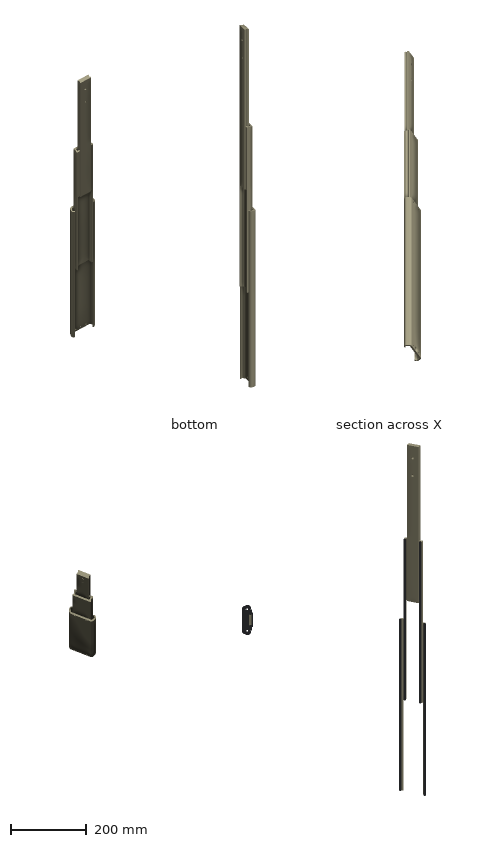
import cadquery as cq
import math


OUTER_LENGTH = 500.0
OUTER_HALF_WIDTH = 37.0
OUTER_FRONT = 20.0
OUTER_WEB = 5.0
OUTER_FLAT_HALF = 29.0
BEVEL_DEPTH = 3.0
BEVEL_WIDTH = 4.4
RACE_OUTER_RADIUS = 7.0
RACE_INNER_RADIUS = 3.5
OUTER_RACE_ANGLES = (118, 5)
INNER_RACE_ANGLES = (150, 0)
LIP_TIP = (18.0, 28.0)

MOUNT_HOLE_DIAMETER = 6.0
MOUNT_HOLE_SPACING = 33.0
MOUNT_HOLE_INSET = 8.0
CENTRE_HOLE_DIAMETER = 5.0
CENTRE_HOLE_MOUTH = 15.0
SINK_ANGLE = 90

MIDDLE_LENGTH = 470.0
MIDDLE_TOP = 735.0
MIDDLE_BACK = 6.0
MIDDLE_FRONT = 23.0
MIDDLE_HALF_WIDTH = 26.0
MIDDLE_WEB = 5.0
MIDDLE_FLANGE = 5.6
MIDDLE_LIP = 4.0
MIDDLE_CORNER_RADIUS = 2.0
GROOVE_START = 9.0
GROOVE_WIDTH = 8.6
GROOVE_DEPTH = 1.9

TOP = 1010
INNER_LENGTH = 455
INNER_BACK = 14.0
INNER_FRONT = 26.0
INNER_HALF_WIDTH = 17.0
VEE_START = 18.0
VEE_WIDTH = 5.0
VEE_DEPTH = 2.0
PLAIN_HOLE_DIAMETER = 7.0
PLAIN_HOLE_INSET = 35.0
SINK_HOLE_DIAMETER = 4.0
SINK_HOLE_MOUTH = 8.0
SINK_HOLE_INSET = 86.0

RACE_X = OUTER_FRONT - RACE_OUTER_RADIUS
RACE_Y = OUTER_HALF_WIDTH - RACE_OUTER_RADIUS
MIDDLE_BOTTOM = MIDDLE_TOP - MIDDLE_LENGTH
MIDDLE_MOUTH_HALF = MIDDLE_HALF_WIDTH - MIDDLE_LIP
GROOVE_END = GROOVE_START + GROOVE_WIDTH
INNER_BOTTOM = TOP - INNER_LENGTH
VEE_END = VEE_START + VEE_WIDTH


def mirrored(side, points):
    """Points moved to the +Y side (side = 1) or the -Y side (side = -1)."""
    return [(x, side * y) for x, y in points]


def race_arc(radius, first, last):
    """Start, middle and end of an arc around the race centre of the +Y flange."""
    angles = [math.radians(a) for a in (first, (first + last) / 2, last)]
    return [(RACE_X + radius * math.cos(a), RACE_Y + radius * math.sin(a)) for a in angles]


def drill(body, diameter, y, z):
    """Cut a round hole along X, right through the body."""
    cutter = cq.Workplane("YZ").center(y, z).circle(diameter / 2).extrude(INNER_FRONT)
    return body.cut(cutter)


def countersink(body, mouth, diameter, x, z):
    """Cut a centred hole along X with a conical mouth on the face at x."""
    depth = (mouth - diameter) / 2 / math.tan(math.radians(SINK_ANGLE / 2))
    cone = cq.Solid.makeCone(mouth / 2, diameter / 2, depth, cq.Vector(x, 0, z), cq.Vector(1, 0, 0))
    return drill(body.cut(cq.Workplane(cone)), diameter, 0, z)


def make_outer_rail():
    outer_start, outer_middle, outer_end = race_arc(RACE_OUTER_RADIUS, *OUTER_RACE_ANGLES)
    inner_start, inner_middle, inner_end = race_arc(RACE_INNER_RADIUS, *INNER_RACE_ANGLES)
    half = (
        cq.Workplane("XY")
        .moveTo(0, 0)
        .lineTo(0, OUTER_FLAT_HALF)
        .lineTo(BEVEL_DEPTH, OUTER_FLAT_HALF + BEVEL_WIDTH)
        .lineTo(*outer_start)
        .threePointArc(outer_middle, outer_end)
        .lineTo(*LIP_TIP)
        .lineTo(*inner_end)
        .threePointArc(inner_middle, inner_start)
        .lineTo(OUTER_WEB, OUTER_FLAT_HALF)
        .lineTo(OUTER_WEB, 0)
        .close()
        .extrude(OUTER_LENGTH)
    )
    rail = half.union(half.mirror("XZ")).clean()
    for z in (MOUNT_HOLE_INSET, OUTER_LENGTH - MOUNT_HOLE_INSET):
        for side in (1, -1):
            rail = drill(rail, MOUNT_HOLE_DIAMETER, side * MOUNT_HOLE_SPACING / 2, z)
    return countersink(rail, CENTRE_HOLE_MOUTH, CENTRE_HOLE_DIAMETER, 0, MOUNT_HOLE_INSET)


def middle_block(back, half_width):
    """Box along the whole middle rail, from x = back to its front, centred on y = 0."""
    depth = MIDDLE_FRONT - back
    return (
        cq.Workplane("XY", origin=(back + depth / 2, 0, MIDDLE_BOTTOM))
        .rect(depth, 2 * half_width)
        .extrude(MIDDLE_LENGTH)
    )


def groove_cutter(side):
    """Shallow round groove in the outer face of one flange of the middle rail."""
    start, deepest, end = mirrored(side, [
        (GROOVE_START, MIDDLE_HALF_WIDTH),
        (GROOVE_START + GROOVE_WIDTH / 2, MIDDLE_HALF_WIDTH - GROOVE_DEPTH),
        (GROOVE_END, MIDDLE_HALF_WIDTH),
    ])
    return (
        cq.Workplane("XY", origin=(0, 0, MIDDLE_BOTTOM))
        .moveTo(*start)
        .threePointArc(deepest, end)
        .close()
        .extrude(MIDDLE_LENGTH)
    )


def make_middle_rail():
    rail = middle_block(MIDDLE_BACK, MIDDLE_HALF_WIDTH)
    rail = rail.edges("|Z and <X").fillet(MIDDLE_CORNER_RADIUS)
    rail = rail.cut(middle_block(MIDDLE_BACK + MIDDLE_WEB, MIDDLE_HALF_WIDTH - MIDDLE_FLANGE))
    rail = rail.cut(middle_block(GROOVE_END, MIDDLE_MOUTH_HALF))
    for side in (1, -1):
        rail = rail.cut(groove_cutter(side))
    return rail


def vee_points():
    """Corners of the V-groove in the +Y side of the inner rail."""
    return [
        (VEE_START, INNER_HALF_WIDTH),
        (VEE_START + VEE_WIDTH / 2, INNER_HALF_WIDTH - VEE_DEPTH),
        (VEE_END, INNER_HALF_WIDTH),
    ]


def make_inner_rail():
    one_side = [(INNER_BACK, INNER_HALF_WIDTH)] + vee_points() + [(INNER_FRONT, INNER_HALF_WIDTH)]
    outline = one_side + mirrored(-1, reversed(one_side))
    bar = (
        cq.Workplane("XY", origin=(0, 0, INNER_BOTTOM))
        .polyline(outline)
        .close()
        .extrude(INNER_LENGTH)
    )
    bar = drill(bar, PLAIN_HOLE_DIAMETER, 0, TOP - PLAIN_HOLE_INSET)
    return countersink(bar, SINK_HOLE_MOUTH, SINK_HOLE_DIAMETER, INNER_BACK, TOP - SINK_HOLE_INSET)


def make_strip(side):
    """Strip filling the V-groove and the gap to the lip of the middle rail, where the two overlap."""
    section = vee_points() + [(VEE_END, MIDDLE_MOUTH_HALF), (VEE_START, MIDDLE_MOUTH_HALF)]
    return (
        cq.Workplane("XY", origin=(0, 0, INNER_BOTTOM))
        .polyline(mirrored(side, section))
        .close()
        .extrude(MIDDLE_TOP - INNER_BOTTOM)
    )


outer_rail = make_outer_rail()
middle_rail = make_middle_rail()
inner_rail = make_inner_rail()
strips = [make_strip(side) for side in (1, -1)]
result = cq.Compound.makeCompound(
    [outer_rail.val(), middle_rail.val(), inner_rail.val()] + [strip.val() for strip in strips]
)